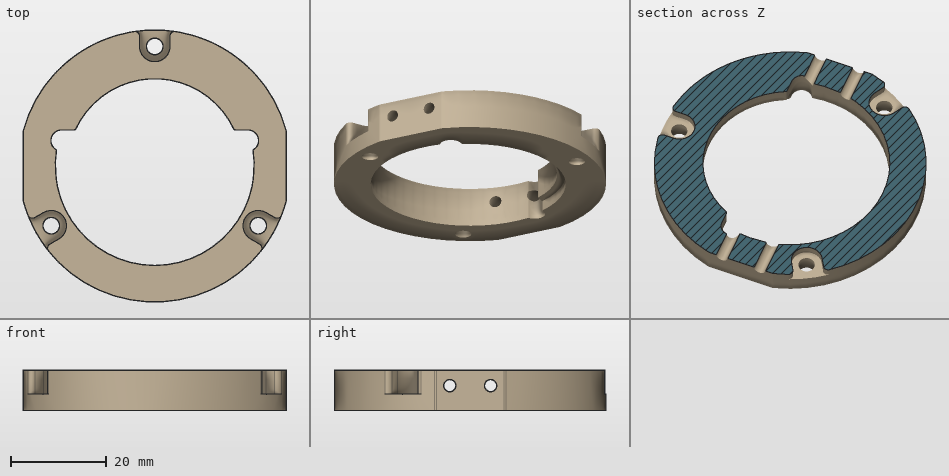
import cadquery as cq
import math

outer_radius = 28.45
width_across_flats = 55.0
height = 8.5
flat_edge_radius = 1.4

bore_radius = 20.75
lip_radius = 18.2
lip_end_y = 7.5
undercut_radius = 20.0
undercut_height = 2.15
lip_corner_radius = 0.4

relief_radius = 2.2
relief_x = 19.45
relief_y = lip_end_y - relief_radius

pocket_count = 3
first_pocket_angle = 90.0
screw_circle_radius = 24.95
screw_hole_diameter = 3.4
pocket_radius = 3.2
pocket_floor = 3.45
pocket_mouth_radius = 1.0

cross_hole_diameter = 2.5
cross_hole_offset = 4.25
cross_hole_z = 5.25


def make_body():
    disc = cq.Workplane("XY").circle(outer_radius).extrude(height)
    flats = cq.Workplane("XY").rect(width_across_flats, 2 * outer_radius).extrude(height)
    return disc.intersect(flats).edges("|Z").fillet(flat_edge_radius)


def wide_bore_below_lip():
    """Wide part of the bore, stopping at the straight ends of the lip."""
    depth = bore_radius + lip_end_y
    below_lip = (
        cq.Workplane("XY")
        .center(0, lip_end_y - depth / 2)
        .rect(2 * bore_radius, depth)
        .extrude(height)
    )
    return cq.Workplane("XY").circle(bore_radius).extrude(height).intersect(below_lip)


def lip_corners(radius):
    """Selector for the two places where an arc of this radius meets the lip ends."""
    corner_x = math.sqrt(radius**2 - lip_end_y**2)
    half_box = lip_corner_radius / 2
    selectors = []
    for x in (-corner_x, corner_x):
        low = (x - half_box, lip_end_y - half_box, 0)
        high = (x + half_box, lip_end_y + half_box, height)
        selectors.append(cq.selectors.BoxSelector(low, high))
    return selectors[0] + selectors[1]


def make_bore():
    bore = wide_bore_below_lip()
    bore = bore.union(cq.Workplane("XY").circle(lip_radius).extrude(height))
    bore = bore.union(cq.Workplane("XY").circle(undercut_radius).extrude(undercut_height))
    reliefs = (
        cq.Workplane("XY")
        .pushPoints([(-relief_x, relief_y), (relief_x, relief_y)])
        .circle(relief_radius)
        .extrude(height)
    )
    band = (
        cq.Workplane("XY")
        .center(0, lip_end_y - relief_radius / 2)
        .rect(2 * relief_x, relief_radius)
        .extrude(height)
    )
    bore = bore.union(reliefs).union(band)
    for radius in (lip_radius, undercut_radius):
        bore = bore.edges("|Z").edges(lip_corners(radius)).fillet(lip_corner_radius)
    return bore


def make_pocket():
    """Pocket on the +X axis, with its mouth edges rounded into the rim."""
    mouth_center_y = pocket_radius + pocket_mouth_radius
    center_distance = outer_radius - pocket_mouth_radius
    mouth_center_x = math.sqrt(center_distance**2 - mouth_center_y**2)
    rim_x = mouth_center_x * outer_radius / center_distance
    rim_y = mouth_center_y * outer_radius / center_distance
    middle_angle = (math.atan2(mouth_center_y, mouth_center_x) - math.pi / 2) / 2
    middle_x = mouth_center_x + pocket_mouth_radius * math.cos(middle_angle)
    middle_y = mouth_center_y + pocket_mouth_radius * math.sin(middle_angle)
    outside_x = outer_radius + pocket_radius
    return (
        cq.Workplane("XY", origin=(0, 0, pocket_floor))
        .moveTo(screw_circle_radius, -pocket_radius)
        .threePointArc((screw_circle_radius - pocket_radius, 0), (screw_circle_radius, pocket_radius))
        .lineTo(mouth_center_x, pocket_radius)
        .threePointArc((middle_x, middle_y), (rim_x, rim_y))
        .lineTo(outside_x, rim_y)
        .lineTo(outside_x, -rim_y)
        .lineTo(rim_x, -rim_y)
        .threePointArc((middle_x, -middle_y), (mouth_center_x, -pocket_radius))
        .close()
        .extrude(height - pocket_floor)
    )


def make_screw_seat():
    hole = (
        cq.Workplane("XY")
        .center(screw_circle_radius, 0)
        .circle(screw_hole_diameter / 2)
        .extrude(height)
    )
    return make_pocket().union(hole)


def make_cross_holes():
    return (
        cq.Workplane("YZ")
        .pushPoints([(-cross_hole_offset, cross_hole_z), (cross_hole_offset, cross_hole_z)])
        .circle(cross_hole_diameter / 2)
        .extrude(width_across_flats / 2, both=True)
    )


result = make_body().cut(make_bore()).cut(make_cross_holes())
screw_seat = make_screw_seat()
for index in range(pocket_count):
    angle = first_pocket_angle + index * 360 / pocket_count
    result = result.cut(screw_seat.rotate((0, 0, 0), (0, 0, 1), angle))